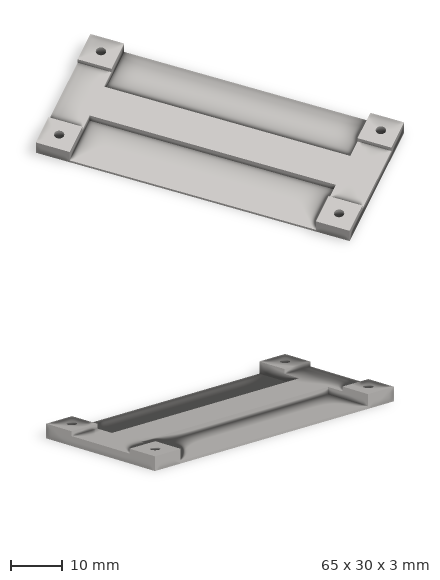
import cadquery as cq

length = 65.0
width = 30.0
height = 3.0

web_height = 2.0
floor_thickness = 0.5

pad_size = 7.0
rib_width = 8.0
hole_diameter = 2.0

pocket_length = length - 2 * pad_size
pocket_width = (width - rib_width) / 2
pad_spacing_x = length - pad_size
pad_spacing_y = width - pad_size


def block(size_x, size_y, size_z):
    """Box centred in X and Y, standing on Z = 0."""
    return cq.Workplane("XY").box(size_x, size_y, size_z, centered=(True, True, False))


plate = block(length, width, web_height)

pads = (
    cq.Workplane("XY")
    .rarray(pad_spacing_x, pad_spacing_y, 2, 2)
    .rect(pad_size, pad_size)
    .extrude(height)
)
body = plate.union(pads)

for side in (-1, 1):
    pocket_y = side * (width - pocket_width) / 2
    pocket = block(pocket_length, pocket_width, height).translate((0, pocket_y, floor_thickness))
    body = body.cut(pocket)

holes = (
    cq.Workplane("XY")
    .rarray(pad_spacing_x, pad_spacing_y, 2, 2)
    .circle(hole_diameter / 2)
    .extrude(height)
)
result = body.cut(holes)